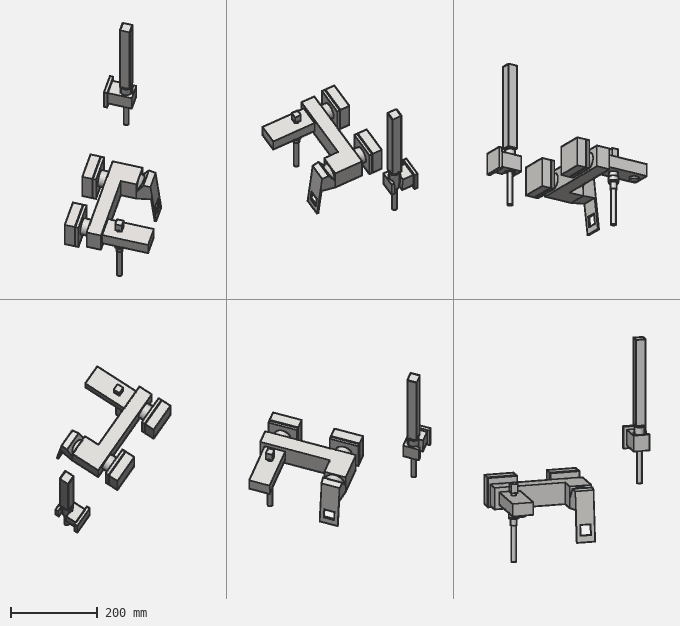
import cadquery as cq
import math

inlet_spacing = 150.0
overall_length = 387.0
overall_height = 490.06

rosette_size = 70.0
cover_depth = 24.0
groove_width = 1.2
groove_depth = 2.0
plate_depth = 7.8
neck_diameter = 39.0

bar_back = 52.8
bar_depth = 34.5
bar_front = bar_back + bar_depth
bar_overhang = 36.0
bar_height = 52.0
bar_near = -bar_overhang
bar_far = inlet_spacing + bar_overhang
arm_end = 124.6
arm_y = bar_far - bar_height / 2
dome_radius = 25.5
dome_center_x = 115.0
spout_end = 197.3
spout_width = 50.0
spout_height = 30.0
spout_bottom = -spout_height / 2
aerator_x = 178.3
aerator_diameter = 23.0
aerator_height = 5.5

diverter_x = 121.5
knob_size = 15.8
knob_height = 21.6
stem_diameter = 11.2
stem_height = 6.2
outlet_diameter = 21.9
outlet_height = 10.8

hose_diameter = 12.0
hose_end = -144.2
nut_diameter = 23.6
nut_height = 11.0
nut_lip_diameter = 23.0
nut_lip_height = 3.0
ferrule_diameter = 15.0
ferrule_height = 17.0

block_taper = 0.113
block_reach = 40.0
block_top_x = 142.0
block_back_lean = 0.66
lever_front_x = 156.8
lever_lean = 0.114
lever_thickness = 4.0
lever_width = 44.0
lever_bottom = -97.7
window_size = 25.0
window_z = -69.3

holder_z = 100.0
holder_plate_size = 52.0
holder_y = bar_near + overall_length - holder_plate_size / 2
holder_plate_depth = 8.0
holder_reach = 65.3
holder_block_width = 38.5
holder_block_height = 37.8
holder_top = holder_z + holder_block_height / 2
holder_bottom = holder_z - holder_block_height / 2
socket_top_diameter = 29.0
socket_bottom_diameter = 24.0
slot_top_width = 22.5
slot_bottom_width = 18.7

shower_x = 46.6
shower_top = hose_end + overall_height
shower_bottom = 140.0
shower_width = 24.9
shower_depth = 23.3
shower_core_width = 21.9
shower_core_rise = 0.5
shower_neck_diameter = 21.9
shower_step_diameter = 23.0
shower_step_height = 1.5
collar_top = 135.5
collar_top_diameter = 23.6
collar_bottom_diameter = 21.0
shower_hose_end = 0.0


def box(x_start, x_end, width, height, y=0.0, z=0.0):
    """Box from x_start to x_end, centred on y and z."""
    return cq.Workplane("YZ", origin=(x_start, y, z)).rect(width, height).extrude(x_end - x_start)


def upright(x, y, bottom, top, diameter):
    """Vertical cylinder."""
    return cq.Workplane("XY", origin=(x, y, bottom)).circle(diameter / 2).extrude(top - bottom)


def upright_cone(x, y, bottom, top, bottom_diameter, top_diameter):
    """Vertical cone frustum."""
    return (
        cq.Workplane("XY", origin=(x, y, bottom))
        .circle(bottom_diameter / 2)
        .workplane(offset=top - bottom)
        .circle(top_diameter / 2)
        .loft()
    )


def cartridge_dome():
    """Spherical cap on the end of the arm, revolved about the arm's axis."""
    rim_offset = arm_end - dome_center_x
    rim_radius = math.sqrt(dome_radius**2 - rim_offset**2)
    diagonal = dome_radius * math.sqrt(0.5)
    return (
        cq.Workplane("XY", origin=(dome_center_x, arm_y, 0))
        .moveTo(rim_offset, 0)
        .lineTo(rim_offset, rim_radius)
        .threePointArc((diagonal, diagonal), (dome_radius, 0))
        .close()
        .revolve(360, (0, 0, 0), (1, 0, 0))
    )


def make_rosette(y):
    plate_start = cover_depth + groove_width
    plate_end = plate_start + plate_depth
    core_size = rosette_size - 2 * groove_depth
    neck = cq.Workplane("YZ", origin=(plate_end, y, 0)).circle(neck_diameter / 2).extrude(bar_back - plate_end)
    return (
        box(0, cover_depth, rosette_size, rosette_size, y)
        .union(box(cover_depth, plate_start, core_size, core_size, y))
        .union(box(plate_start, plate_end, rosette_size, rosette_size, y))
        .union(neck)
    )


def make_body():
    bar = box(bar_back, bar_front, bar_far - bar_near, bar_height, (bar_near + bar_far) / 2)
    arm = box(bar_front, arm_end, bar_height, bar_height, arm_y)
    spout = box(bar_front, spout_end, spout_width, spout_height)
    aerator = upright(aerator_x, 0, spout_bottom - aerator_height, spout_bottom, aerator_diameter)
    outlet = upright(diverter_x, 0, spout_bottom - outlet_height, spout_bottom, outlet_diameter)
    stem_top = spout_height / 2 + stem_height
    stem = upright(diverter_x, 0, spout_height / 2, stem_top, stem_diameter)
    knob = cq.Workplane("XY", origin=(diverter_x, 0, stem_top)).rect(knob_size, knob_size).extrude(knob_height)
    body = bar.union(arm).union(cartridge_dome()).union(spout)
    return body.union(aerator).union(outlet).union(stem).union(knob)


def make_hose():
    nut_top = spout_bottom - outlet_height
    lip_top = nut_top - nut_height
    lip_bottom = lip_top - nut_lip_height
    ferrule_bottom = lip_bottom - ferrule_height
    return (
        upright(diverter_x, 0, lip_top, nut_top, nut_diameter)
        .union(upright(diverter_x, 0, lip_bottom, lip_top, nut_lip_diameter))
        .union(upright(diverter_x, 0, ferrule_bottom, lip_bottom, ferrule_diameter))
        .union(upright(diverter_x, 0, hose_end, ferrule_bottom, hose_diameter))
    )


def make_handle():
    half = bar_height / 2
    tapered_size = bar_height - 2 * block_taper * block_reach
    taper = (
        cq.Workplane("YZ", origin=(arm_end, arm_y, 0))
        .rect(bar_height, bar_height)
        .workplane(offset=block_reach)
        .rect(tapered_size, tapered_size)
        .loft()
    )
    contact_z = half - (block_top_x - arm_end) / block_back_lean
    block_outline = [
        (arm_end, -half),
        (arm_end, contact_z),
        (block_top_x, half),
        (lever_x(half), half),
        (lever_x(-half), -half),
    ]
    block = taper.intersect(extrude_side(block_outline, bar_height))
    lever_top = -half / 2
    lever_outline = [
        (lever_x(lever_top), lever_top),
        (lever_x(lever_bottom), lever_bottom),
        (lever_x(lever_bottom) - lever_thickness, lever_bottom),
        (lever_x(lever_top) - lever_thickness, lever_top),
    ]
    lever = extrude_side(lever_outline, lever_width)
    window = box(arm_end, spout_end, window_size, window_size, arm_y, window_z)
    return block.cut(cartridge_dome()).union(lever).cut(window)


def lever_x(z):
    """X of the sloping front face of the handle at height z."""
    return lever_front_x + lever_lean * (bar_height / 2 - z)


def extrude_side(outline, width):
    """Extrude an XZ outline along Y, centred on the arm."""
    return cq.Workplane("XZ", origin=(0, arm_y, 0)).polyline(outline).close().extrude(width / 2, both=True)


def make_holder():
    plate = box(0, holder_plate_depth, holder_plate_size, holder_plate_size, holder_y, holder_z)
    block = box(holder_plate_depth, holder_reach, holder_block_width, holder_block_height, holder_y, holder_z)
    socket = upright_cone(
        shower_x, holder_y, holder_bottom, holder_top, socket_bottom_diameter, socket_top_diameter
    )
    slot = (
        cq.Workplane("XZ", origin=(shower_x, holder_y, 0))
        .polyline([
            (-slot_bottom_width / 2, holder_bottom),
            (slot_bottom_width / 2, holder_bottom),
            (slot_top_width / 2, holder_top),
            (-slot_top_width / 2, holder_top),
        ])
        .close()
        .extrude(-holder_block_width)
    )
    return plate.union(block).cut(socket).cut(slot)


def make_hand_shower():
    casing_depth = shower_depth - 2 * shower_core_rise
    casing_height = shower_top - shower_core_rise - shower_bottom
    base = cq.Workplane("XY", origin=(shower_x, holder_y, shower_bottom))
    casing = base.rect(shower_width, casing_depth).extrude(casing_height)
    core = base.rect(shower_core_width, shower_depth).extrude(shower_top - shower_bottom)
    step_bottom = shower_bottom - shower_step_height
    step = upright(shower_x, holder_y, step_bottom, shower_bottom, shower_step_diameter)
    neck = upright(shower_x, holder_y, collar_top, step_bottom, shower_neck_diameter)
    collar = upright_cone(
        shower_x, holder_y, holder_bottom, collar_top, collar_bottom_diameter, collar_top_diameter
    )
    hose = upright(shower_x, holder_y, shower_hose_end, holder_bottom, hose_diameter)
    return casing.union(core).union(step).union(neck).union(collar).union(hose)


rosettes = [make_rosette(index * inlet_spacing) for index in range(2)]
body = make_body()
hose = make_hose()
handle = make_handle()
holder = make_holder()
hand_shower = make_hand_shower()

result = cq.Compound.makeCompound([
    *[rosette.val() for rosette in rosettes],
    body.val(),
    hose.val(),
    handle.val(),
    holder.val(),
    hand_shower.val(),
])